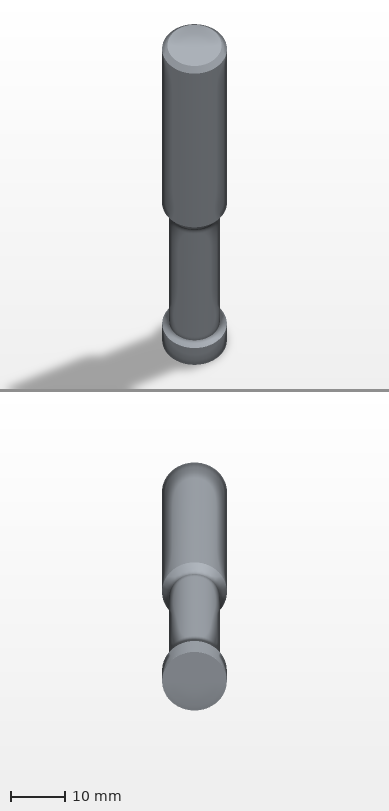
import cadquery as cq
import math

total_length = 84.0

shank_diameter = 12.0
shank_end_chamfer = 1.0
shank_bottom_z = 39.2
neck_diameter = 9.35
neck_cone_half_angle = 30.0

head_diameter = 11.95
head_edge_chamfer = 0.01
head_rim_z = 4.78
head_cone_top_z = 5.46
head_joint_z = 6.1

shank_radius = shank_diameter / 2
neck_radius = neck_diameter / 2
head_radius = head_diameter / 2
neck_cone_height = (shank_radius - neck_radius) / math.tan(math.radians(neck_cone_half_angle))
neck_top_z = shank_bottom_z - neck_cone_height


def turned_body(outline):
    """Revolve a half outline of (radius, z) points about the Z axis."""
    return cq.Workplane("XZ").polyline(outline).close().revolve(360, (0, 0, 0), (0, 1, 0))


def make_shank():
    """Chamfered shank and slimmer neck, standing on the cutting head."""
    return turned_body([
        (0, head_joint_z),
        (neck_radius, head_joint_z),
        (neck_radius, neck_top_z),
        (shank_radius, shank_bottom_z),
        (shank_radius, total_length - shank_end_chamfer),
        (shank_radius - shank_end_chamfer, total_length),
        (0, total_length),
    ])


def make_cutting_head():
    """Disc with a fine edge break, tapering to a stub of the neck diameter."""
    return turned_body([
        (0, 0),
        (head_radius - head_edge_chamfer, 0),
        (head_radius, head_edge_chamfer),
        (head_radius, head_rim_z),
        (neck_radius, head_cone_top_z),
        (neck_radius, head_joint_z),
        (0, head_joint_z),
    ])


shank = make_shank()
cutting_head = make_cutting_head()

result = cq.Compound.makeCompound([shank.val(), cutting_head.val()])